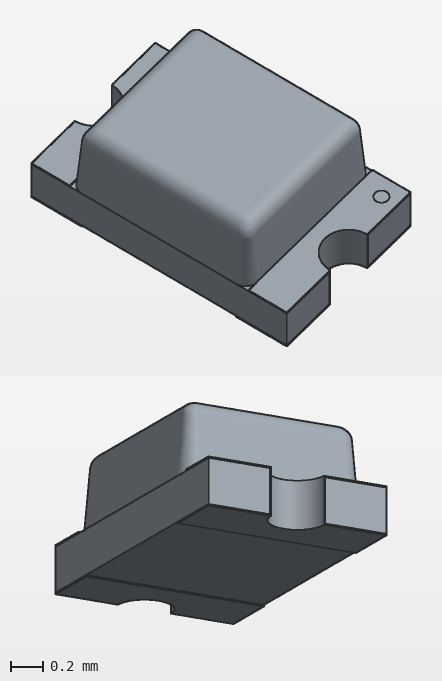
import cadquery as cq

LENGTH = 2.0
WIDTH = 1.25
BOARD_HEIGHT = 0.3

PLATING = 0.01
TOP_PLATE_LENGTH = 0.3
BOTTOM_PLATE_LENGTH = 0.4
NOTCH_RADIUS = 0.185
BORE_RADIUS = NOTCH_RADIUS + PLATING

LENS_LENGTH = LENGTH - 2 * TOP_PLATE_LENGTH
LENS_HEIGHT = 0.5
LENS_DRAFT = 5.0
LENS_CORNER_RADIUS = 0.1
LENS_TOP_RADIUS = 0.1

MARK_RADIUS = 0.05
MARK_END_INSET = 0.12
MARK_SIDE_INSET = 0.14
MARK_X = LENGTH / 2 - MARK_END_INSET
MARK_Y = WIDTH / 2 - MARK_SIDE_INSET

BOARD_BOTTOM = PLATING
BOARD_TOP = BOARD_BOTTOM + BOARD_HEIGHT
TERMINAL_TOP = BOARD_TOP + PLATING


def end_cylinder(side, radius, bottom, top):
    """Upright cylinder centred on the board's end face."""
    return (
        cq.Workplane("XY", origin=(side * LENGTH / 2, 0, bottom))
        .circle(radius)
        .extrude(top - bottom)
    )


def end_plate(side, length, bottom, top):
    """Full-width plate reaching inward from the board's end face."""
    return (
        cq.Workplane("XY", origin=(side * (LENGTH - length) / 2, 0, bottom))
        .rect(length, WIDTH)
        .extrude(top - bottom)
    )


def make_board():
    board = (
        cq.Workplane("XY", origin=(0, 0, BOARD_BOTTOM))
        .rect(LENGTH, WIDTH)
        .extrude(BOARD_HEIGHT)
    )
    for side in (-1, 1):
        board = board.cut(end_cylinder(side, BORE_RADIUS, BOARD_BOTTOM, BOARD_TOP))
    return board


def make_mark():
    return (
        cq.Workplane("XY", origin=(MARK_X, MARK_Y, BOARD_TOP))
        .circle(MARK_RADIUS)
        .extrude(PLATING)
    )


def make_terminal(side):
    """One terminal; side is -1 for the -X end and 1 for the +X end."""
    lining = end_cylinder(side, BORE_RADIUS, 0, TERMINAL_TOP).intersect(
        end_plate(side, BOTTOM_PLATE_LENGTH, 0, TERMINAL_TOP)
    )
    return (
        end_plate(side, TOP_PLATE_LENGTH, BOARD_TOP, TERMINAL_TOP)
        .union(end_plate(side, BOTTOM_PLATE_LENGTH, 0, BOARD_BOTTOM))
        .union(lining)
        .cut(end_cylinder(side, NOTCH_RADIUS, 0, TERMINAL_TOP))
    )


def make_lens():
    base = cq.Sketch().rect(LENS_LENGTH, WIDTH).vertices().fillet(LENS_CORNER_RADIUS)
    return (
        cq.Workplane("XY", origin=(0, 0, BOARD_TOP))
        .placeSketch(base)
        .extrude(LENS_HEIGHT, taper=LENS_DRAFT)
        .faces(">Z")
        .edges()
        .fillet(LENS_TOP_RADIUS)
    )


board = make_board()
lens = make_lens()
mark = make_mark()
terminals = [make_terminal(side).cut(mark) for side in (-1, 1)]

result = cq.Compound.makeCompound(
    [board.val(), lens.val(), mark.val(), *[terminal.val() for terminal in terminals]]
)